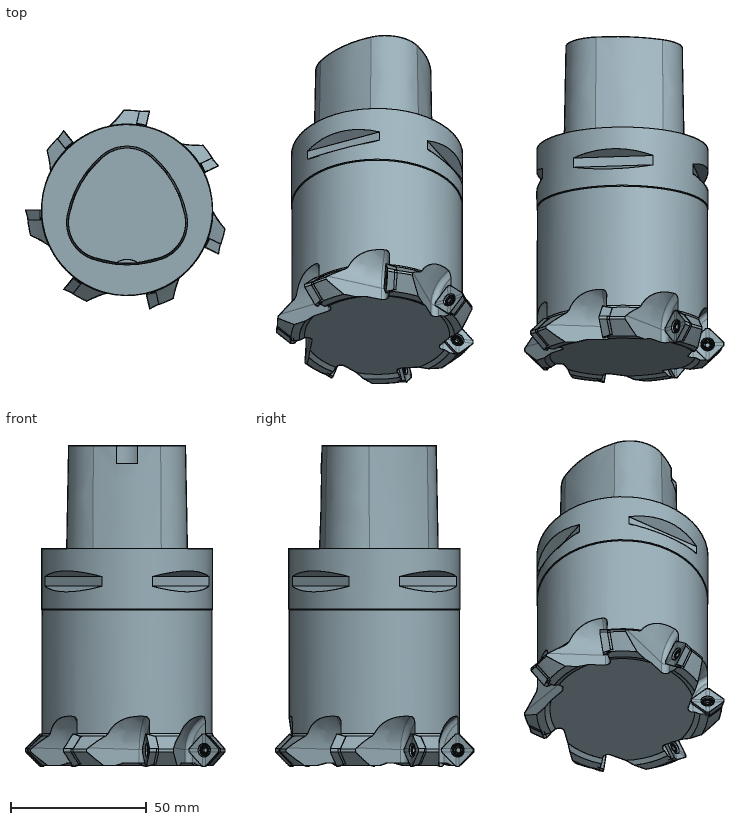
import cadquery as cq
import math

total_height = 118.0
flange_top = 80.1
flange_bottom = 57.9
head_top = 12.2
head_bottom = 0.4

flange_radius = 63.0 / 2
flange_bevel_height = 0.4
body_radius = 62.7 / 2
head_radius = 36.7
head_mid_height = 5.9
head_band = 1.0
neck_height = 0.8
neck_step = 0.3
recess_radius = 28.5
recess_depth = 1.0
recess_slope_width = 1.9

lobe_distance = 9.2
lobe_radius = 14.3
flank_radius = 38.9
shank_shrink = 0.7
notch_radius = 6.8
notch_back = 18.2
notch_height = 6.5

slot_count = 4
first_slot_angle = 45.0
slot_floor_distance = 27.8
slot_floor_height = 3.5
slot_mouth_height = 7.7
slot_middle = 68.1

insert_count = 7
first_insert_angle = 180.0
tip_reach = 6.0
corner_flat = 1.2
insert_thickness = 3.7
clearance_angle = 11.0
insert_centre_radius = body_radius
insert_centre_height = tip_reach
dish_depth = 0.4
dish_reach = 2.0
screw_recess_diameter = 5.0
screw_seat_diameter = 4.2
screw_head_diameter = 3.4
screw_rim_diameter = 3.0
socket_diameter = 2.0
screw_recess_depth = 1.7
screw_head_depth = 1.0
socket_depth = 2.1

gullet_floor_distance = 23.2
gullet_floor_angle = 14.0
gullet_wall_offset = 1.4
gullet_corner_radius = 1.9
gullet_width = 30.7
gullet_inner_end = 7.7
gullet_outer_end = -30.7
gullet_inner_radius = 9.0
gullet_outer_radius = 21.6
gullet_inner_floor_top = 5.8
gullet_outer_floor_top = 7.0


def rotated(shape, angle):
    return shape.rotate((0, 0, 0), (0, 0, 1), angle)


def polar(radius, angle):
    return (radius * math.cos(math.radians(angle)), radius * math.sin(math.radians(angle)))


insert_angles = [first_insert_angle + i * 360 / insert_count for i in range(insert_count)]


def insert_outline(reach, y):
    """Square on its corner, the four corners cut by flats, in the plane at y."""
    half_flat = corner_flat / 2
    corners = [
        (reach, -half_flat), (reach, half_flat), (half_flat, reach), (-half_flat, reach),
        (-reach, half_flat), (-reach, -half_flat), (-half_flat, -reach), (half_flat, -reach),
    ]
    points = [cq.Vector(insert_centre_radius + x, y, insert_centre_height + z) for x, z in corners]
    return cq.Wire.makePolygon(points, close=True)


def insert_blank():
    """Solid insert at angle 0: rake face at Y = 0, tapering toward +Y."""
    side_inset = insert_thickness * math.tan(math.radians(clearance_angle))
    back_reach = tip_reach - side_inset * math.sqrt(2)
    front = insert_outline(tip_reach, 0)
    back = insert_outline(back_reach, insert_thickness)
    return cq.Workplane(cq.Solid.makeLoft([front, back], True))


def insert_dish():
    """Shallow hollow whose facets slope from the cutting edges to the screw."""
    front = insert_outline(tip_reach, 0)
    bottom = insert_outline(dish_reach, dish_depth)
    return cq.Workplane(cq.Solid.makeLoft([front, bottom], True))


def screw_recess():
    """Turned recess leaving a chamfered screw head with a round socket."""
    profile = [
        (0, 0),
        (screw_recess_diameter / 2, 0),
        (screw_recess_diameter / 2, dish_depth),
        (screw_seat_diameter / 2, screw_head_depth),
        (screw_seat_diameter / 2, screw_recess_depth),
        (screw_head_diameter / 2, screw_recess_depth),
        (screw_rim_diameter / 2, screw_head_depth),
        (socket_diameter / 2, screw_head_depth),
        (socket_diameter / 2, socket_depth),
        (0, socket_depth),
    ]
    recess = cq.Workplane("XY").polyline(profile).close().revolve(360, (0, 0, 0), (0, 1, 0))
    return recess.translate((insert_centre_radius, 0, insert_centre_height))


def make_insert(angle):
    return rotated(insert_blank().cut(insert_dish()).cut(screw_recess()), angle)


def turned_body():
    band_low = head_mid_height - head_band / 2
    band_high = head_mid_height + head_band / 2
    lower_cone_radius = head_radius - (band_low - head_bottom)
    profile = [
        (0, head_bottom + recess_depth),
        (recess_radius - recess_slope_width, head_bottom + recess_depth),
        (recess_radius, head_bottom),
        (lower_cone_radius, head_bottom),
        (head_radius, band_low),
        (head_radius, band_high),
        (body_radius + neck_step, head_top - neck_height),
        (body_radius, head_top),
        (body_radius, flange_bottom - flange_bevel_height),
        (flange_radius, flange_bottom),
        (flange_radius, flange_top),
        (0, flange_top),
    ]
    return cq.Workplane("XZ").polyline(profile).close().revolve(360, (0, 0, 0), (0, 1, 0))


def shank():
    """Tapered prism: three lobe arcs joined tangentially by three shallow arcs."""
    centre_gap = flank_radius - lobe_radius
    half_spacing = lobe_distance * math.sin(math.radians(60))
    lobe_setback = lobe_distance * math.cos(math.radians(60))
    flank_centre = math.sqrt(centre_gap ** 2 - half_spacing ** 2) - lobe_setback
    flank_apothem = flank_radius - flank_centre
    half_sweep = math.asin(half_spacing / centre_gap)
    joint_x = flank_radius * math.sin(half_sweep)
    joint_y = flank_centre - flank_radius * math.cos(half_sweep)
    joint_radius = math.hypot(joint_x, joint_y)
    joint_angle = math.degrees(math.atan2(joint_x, -joint_y))

    outline = cq.Workplane("XY", origin=(0, 0, flange_top)).moveTo(*polar(joint_radius, -90 - joint_angle))
    for flank_angle in (-90, 30, 150):
        outline = outline.threePointArc(
            polar(flank_apothem, flank_angle), polar(joint_radius, flank_angle + joint_angle))
        outline = outline.threePointArc(
            polar(lobe_distance + lobe_radius, flank_angle + 60),
            polar(joint_radius, flank_angle + 120 - joint_angle))
    height = total_height - flange_top
    taper = math.degrees(math.atan(shank_shrink / height))
    return outline.close().extrude(height, taper=taper)


def shank_notch():
    """Round-backed notch in the top edge, on the -Y side."""
    centre_y = -notch_back - notch_radius
    return (
        cq.Workplane("XY", origin=(0, centre_y, total_height - notch_height))
        .circle(notch_radius)
        .extrude(notch_height)
    )


def grip_slot(angle):
    """Straight slot across the flange with a flat floor and flared sides."""
    open_distance = 2 * flange_radius - slot_floor_distance
    half_floor = slot_floor_height / 2
    half_mouth = slot_mouth_height / 2
    profile = [
        (slot_floor_distance, slot_middle - half_floor),
        (flange_radius, slot_middle - half_mouth),
        (open_distance, slot_middle - half_mouth),
        (open_distance, slot_middle + half_mouth),
        (flange_radius, slot_middle + half_mouth),
        (slot_floor_distance, slot_middle + half_floor),
    ]
    slot = cq.Workplane("XZ").polyline(profile).close().extrude(flange_radius, both=True)
    return rotated(slot, angle)


def gullet_section(along, radius, floor_top):
    """Floor line, quarter arc curving outward and the open outer side, across the gullet."""
    floor_x, floor_y = polar(1, gullet_floor_angle)
    origin = (
        gullet_floor_distance * floor_x - along * floor_y,
        gullet_floor_distance * floor_y + along * floor_x,
        0,
    )
    plane = cq.Plane(origin=origin, xDir=(floor_x, floor_y, 0), normal=(floor_y, -floor_x, 0))
    arc_middle = radius * math.sin(math.radians(45))
    return (
        cq.Workplane(plane)
        .lineTo(0, floor_top)
        .threePointArc((radius - arc_middle, floor_top + arc_middle), (radius, floor_top + radius))
        .lineTo(gullet_width, floor_top + radius)
        .lineTo(gullet_width, 0)
        .close()
        .val()
    )


def gullet(angle):
    """Flat floor running up into a cone, ending at a wall behind the rake face."""
    inner = gullet_section(gullet_inner_end, gullet_inner_radius, gullet_inner_floor_top)
    outer = gullet_section(gullet_outer_end, gullet_outer_radius, gullet_outer_floor_top)
    channel = cq.Workplane(cq.Solid.makeLoft([inner, outer], True))
    room = 4 * head_radius
    front_side = cq.Workplane("XY").box(room, room, room).translate((0, gullet_wall_offset - room / 2, 0))
    trimmed = channel.intersect(front_side)
    rounded = trimmed.faces(">Y").edges("<X").fillet(gullet_corner_radius)
    return rotated(rounded, angle)


def make_cutter_body():
    body = turned_body().union(shank()).cut(shank_notch())
    for i in range(slot_count):
        body = body.cut(grip_slot(first_slot_angle + i * 360 / slot_count))
    for angle in insert_angles:
        body = body.cut(gullet(angle)).cut(rotated(insert_blank(), angle))
    return body


cutter_body = make_cutter_body()
inserts = [make_insert(angle) for angle in insert_angles]

result = cq.Compound.makeCompound([cutter_body.val(), *[insert.val() for insert in inserts]])